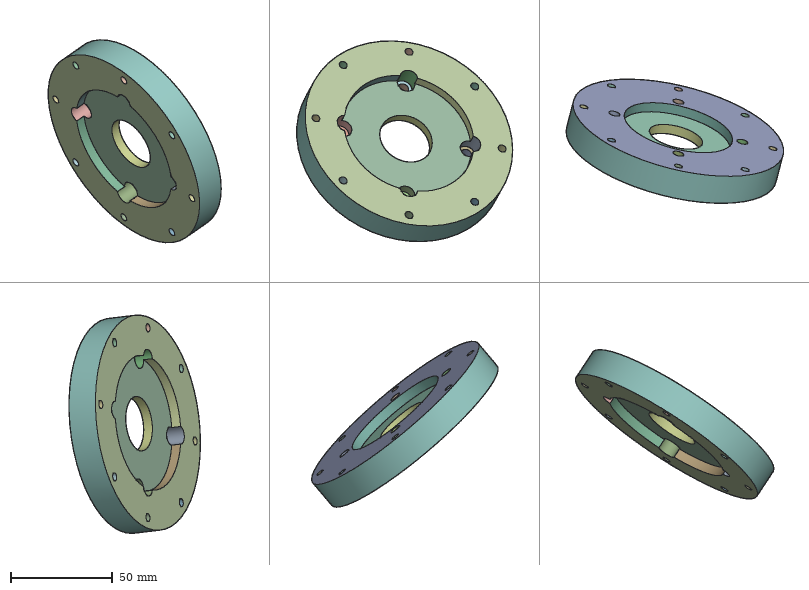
import cadquery as cq

disc_diameter = 107.0
disc_thickness = 15.0

bore_diameter = 27.0
recess_diameter = 67.0
recess_depth = 5.0

rear_recess_diameter = 55.0
rear_recess_depth = 5.0

screw_count = 4
screw_circle_diameter = 65.0
screw_hole_diameter = 5.5
counterbore_diameter = 9.0
counterbore_depth = 10.0

rim_hole_count = 8
rim_hole_circle_diameter = 96.0
rim_hole_diameter = 4.0


def front_cylinder(diameter, depth):
    """Cylinder going from the front face (Y = 0) into the disc along +Y."""
    return cq.Workplane("XZ").circle(diameter / 2).extrude(-depth)


def front_cylinder_ring(count, circle_diameter, diameter, depth):
    """Equally spaced cylinders on a circle, going from the front face along +Y."""
    return (
        cq.Workplane("XZ")
        .polarArray(circle_diameter / 2, 0, 360, count)
        .circle(diameter / 2)
        .extrude(-depth)
    )


disc = front_cylinder(disc_diameter, disc_thickness)
recess = front_cylinder(recess_diameter, recess_depth)
rear_recess = front_cylinder(rear_recess_diameter, rear_recess_depth).translate(
    (0, disc_thickness - rear_recess_depth, 0)
)
bore = front_cylinder(bore_diameter, disc_thickness)
counterbores = front_cylinder_ring(
    screw_count, screw_circle_diameter, counterbore_diameter, counterbore_depth
)
screw_holes = front_cylinder_ring(
    screw_count, screw_circle_diameter, screw_hole_diameter, disc_thickness
)
rim_holes = front_cylinder_ring(
    rim_hole_count, rim_hole_circle_diameter, rim_hole_diameter, disc_thickness
)

result = disc.cut(recess).cut(rear_recess).cut(bore).cut(counterbores).cut(screw_holes).cut(rim_holes)